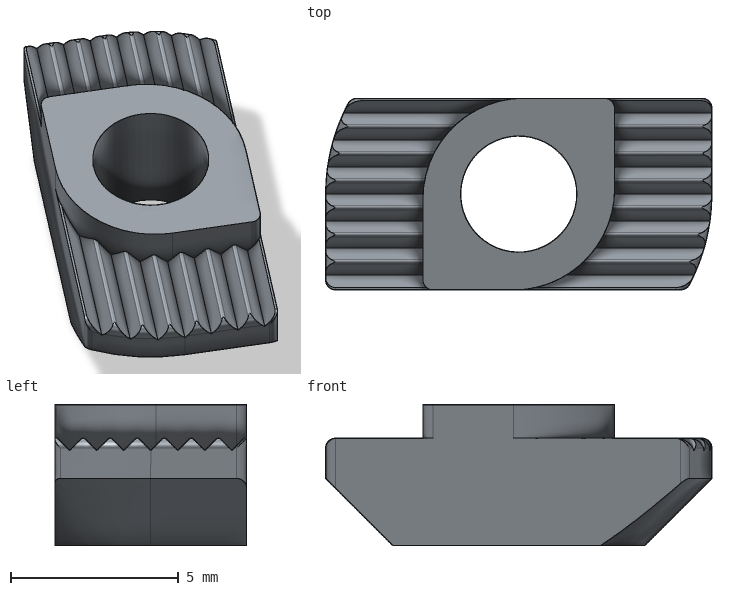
import cadquery as cq
import math

length = 11.5
width = 5.7
total_height = 4.2
body_height = 3.2
taper_height = 2.0
corner_radius = 0.3
boss_arc_radius = 3.0
hole_diameter = 3.45
tooth_pitch = 0.8
tooth_count = 6
tooth_tip_radius = 0.09

half_length = length / 2
half_width = width / 2
base_half_length = half_length - taper_height


def end_profile():
    """Half section from the Z axis outward: flared base and rounded upper edge."""
    return (
        cq.Workplane("XZ")
        .lineTo(base_half_length, 0)
        .lineTo(half_length, taper_height)
        .lineTo(half_length, body_height - corner_radius)
        .radiusArc((half_length - corner_radius, body_height), -corner_radius)
        .lineTo(0, body_height)
        .close()
    )


def half_turned(solid):
    """Copy of a solid turned half a revolution about the Z axis."""
    return solid.rotate((0, 0, 0), (0, 0, 1), 180)


def make_body():
    """Each end is straight on one side of the XZ plane and turned on the other."""
    straight_quarter = end_profile().extrude(-half_width)
    quadrant = cq.Workplane("XY").box(half_length, half_length, body_height, centered=False)
    quadrant = quadrant.translate((0, -half_length, 0))
    full_turn = end_profile().revolve(360, (0, 0), (0, 1))
    turned_quarter = full_turn.intersect(quadrant)
    half = straight_quarter.union(turned_quarter)
    blank = half.union(half_turned(half))

    arc_end = math.sqrt(half_length**2 - half_width**2)
    middle_angle = math.asin(half_width / half_length) / 2
    middle_x = half_length * math.cos(middle_angle)
    middle_y = half_length * math.sin(middle_angle)
    outline = (
        cq.Workplane("XY")
        .moveTo(half_length, half_width)
        .lineTo(-arc_end, half_width)
        .threePointArc((-middle_x, middle_y), (-half_length, 0))
        .lineTo(-half_length, -half_width)
        .lineTo(arc_end, -half_width)
        .threePointArc((middle_x, -middle_y), (half_length, 0))
        .close()
        .extrude(body_height)
    )
    corners = outline.edges("|Z").edges(">Y or <Y")
    return blank.intersect(corners.fillet(corner_radius))


def make_groove_cutter():
    """Material above the row of round-crested teeth that run along X."""
    tip_half_width = tooth_tip_radius * math.sin(math.pi / 4)
    tip_rise = tooth_tip_radius * (1 - math.cos(math.pi / 4))
    flank = tooth_pitch / 2 - tip_half_width
    flank_top = body_height - tip_rise
    valley = flank_top - flank
    outer_valley = tooth_count * tooth_pitch / 2
    outer_edge = outer_valley + body_height - valley

    profile = cq.Workplane("YZ").moveTo(-outer_edge, body_height).lineTo(-outer_valley, valley)
    for index in range(tooth_count):
        crest = -outer_valley + (index + 0.5) * tooth_pitch
        profile = (
            profile.lineTo(crest - tip_half_width, flank_top)
            .threePointArc((crest, body_height), (crest + tip_half_width, flank_top))
            .lineTo(crest + tooth_pitch / 2, valley)
        )
    profile = profile.lineTo(outer_edge, body_height)
    profile = profile.lineTo(outer_edge, total_height).lineTo(-outer_edge, total_height).close()
    return profile.extrude(half_length, both=True)


def make_boss():
    """Square boss with two large and two small rounded opposite corners."""
    large_tangent = half_width - boss_arc_radius
    small_tangent = half_width - corner_radius
    return (
        cq.Workplane("XY")
        .workplane(offset=taper_height)
        .moveTo(small_tangent, half_width)
        .lineTo(-large_tangent, half_width)
        .radiusArc((-half_width, large_tangent), -boss_arc_radius)
        .lineTo(-half_width, -small_tangent)
        .radiusArc((-small_tangent, -half_width), -corner_radius)
        .lineTo(large_tangent, -half_width)
        .radiusArc((half_width, -large_tangent), -boss_arc_radius)
        .lineTo(half_width, small_tangent)
        .radiusArc((small_tangent, half_width), -corner_radius)
        .close()
        .extrude(total_height - taper_height)
    )


toothed_body = make_body().cut(make_groove_cutter())
hole = cq.Workplane("XY").circle(hole_diameter / 2).extrude(total_height)
result = toothed_body.union(make_boss()).cut(hole)